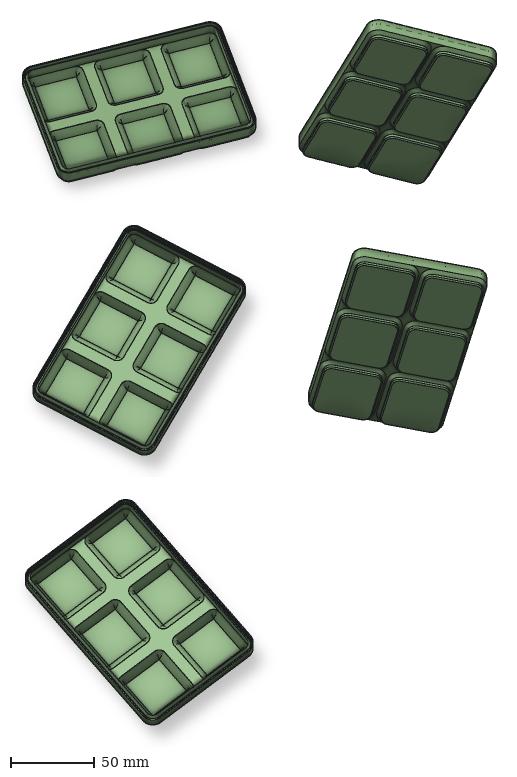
import cadquery as cq

columns = 2
rows = 3
pitch = 42.0
cell_gap = 1.0
cell_size = pitch - cell_gap
corner_radius = 7.5

foot_lower_chamfer = 0.8
foot_straight_height = 1.8
foot_upper_chamfer = 2.15
foot_base_inset = foot_lower_chamfer + foot_upper_chamfer
foot_height = foot_lower_chamfer + foot_straight_height + foot_upper_chamfer

total_height = 12.75
deck_thickness = 1.0
deck_top = foot_height + deck_thickness
wall_thickness = 3.1

pocket_edge_height = 0.3
pocket_corner_radius = corner_radius - wall_thickness
pocket_depth = pocket_corner_radius
slope_top = deck_top - pocket_edge_height
pocket_floor = slope_top - pocket_depth

rim_width = 0.8
groove_floor_width = 0.8
ridge_slope_height = 1.78
groove_straight_height = 1.0
ridge_foot_inset = rim_width + groove_floor_width
ridge_shoulder = total_height - ridge_slope_height
groove_floor = ridge_shoulder - groove_straight_height

tray_size_x = (columns - 1) * pitch + cell_size
tray_size_y = (rows - 1) * pitch + cell_size
cell_centres = [
    ((column - (columns - 1) / 2) * pitch, (row - (rows - 1) / 2) * pitch, 0)
    for column in range(columns)
    for row in range(rows)
]


def rounded_rectangle(size_x, size_y, inset):
    """Rounded rectangle offset inward, keeping the corner arcs concentric."""
    outline = cq.Sketch().rect(size_x - 2 * inset, size_y - 2 * inset)
    return outline.vertices().fillet(corner_radius - inset)


def upright_block(size_x, size_y, inset, bottom, top):
    """Rounded block with vertical sides."""
    outline = rounded_rectangle(size_x, size_y, inset)
    return cq.Workplane("XY", origin=(0, 0, bottom)).placeSketch(outline).extrude(top - bottom)


def sloped_block(size_x, size_y, bottom_inset, top_inset, bottom, top):
    """Rounded block whose sides slope from one inset to another."""
    lower = rounded_rectangle(size_x, size_y, bottom_inset)
    upper = rounded_rectangle(size_x, size_y, top_inset)
    raised_upper = upper.moved(cq.Location(cq.Vector(0, 0, top - bottom)))
    return cq.Workplane("XY", origin=(0, 0, bottom)).placeSketch(lower, raised_upper).loft()


def make_foot():
    """Foot under one cell, centred on the Z axis."""
    band_bottom = foot_lower_chamfer
    band_top = band_bottom + foot_straight_height
    lower = sloped_block(cell_size, cell_size, foot_base_inset, foot_upper_chamfer, 0, band_bottom)
    band = upright_block(cell_size, cell_size, foot_upper_chamfer, band_bottom, band_top)
    upper = sloped_block(cell_size, cell_size, foot_upper_chamfer, 0, band_top, foot_height)
    return lower.union(band).union(upper)


def make_pocket():
    """Two crossed trapezoidal bars, a downward cone at each floor corner, and an upright edge on top."""
    half_floor = cell_size / 2 - corner_radius
    half_opening = half_floor + pocket_corner_radius
    bar_section = [
        (-half_floor, pocket_floor),
        (half_floor, pocket_floor),
        (half_opening, slope_top),
        (-half_opening, slope_top),
    ]
    bar = cq.Workplane("XZ").polyline(bar_section).close().extrude(half_floor, both=True)
    pocket = bar.union(bar.rotate((0, 0, 0), (0, 0, 1), 90))
    for x in (-half_floor, half_floor):
        for y in (-half_floor, half_floor):
            tip = cq.Vector(x, y, pocket_floor)
            corner_cone = cq.Solid.makeCone(0, pocket_corner_radius, pocket_depth, tip)
            pocket = pocket.union(cq.Workplane(corner_cone))
    return pocket.union(upright_block(cell_size, cell_size, wall_thickness, slope_top, deck_top))


def make_rim_recess():
    """Material removed inside the rim, leaving a ridge with a straight foot and a sloped outer top."""
    recess = upright_block(tray_size_x, tray_size_y, rim_width, groove_floor, total_height)
    ridge_foot = upright_block(tray_size_x, tray_size_y, ridge_foot_inset, groove_floor, ridge_shoulder)
    ridge_slope = sloped_block(
        tray_size_x, tray_size_y, ridge_foot_inset, wall_thickness, ridge_shoulder, total_height
    )
    return recess.cut(ridge_foot).cut(ridge_slope)


result = upright_block(tray_size_x, tray_size_y, 0, foot_height, total_height)
result = result.cut(upright_block(tray_size_x, tray_size_y, wall_thickness, deck_top, total_height))

foot = make_foot()
for centre in cell_centres:
    result = result.union(foot.translate(centre))

pocket = make_pocket()
for centre in cell_centres:
    result = result.cut(pocket.translate(centre))

result = result.cut(make_rim_recess())